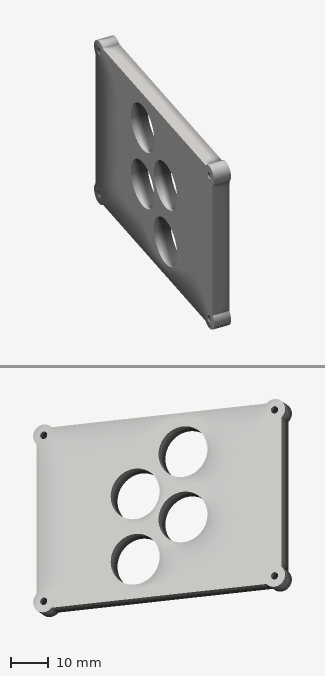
import cadquery as cq

length = 72.0
height = 52.0
thickness = 5.0

lug_radius = 3.0
screw_hole_diameter = 2.0
lug_spacing_x = length - 2 * lug_radius
lug_spacing_z = height - 2 * lug_radius

lug_overhang = 1.0
plate_length = length - 2 * lug_overhang
plate_height = height - 2 * lug_overhang

opening_diameter = 14.0
opening_pitch = 18.1
column_offset = 6.85
left_column_top = 14.2
right_column_top = 3.95
opening_centers = [
    (-column_offset, left_column_top),
    (-column_offset, left_column_top - opening_pitch),
    (column_offset, right_column_top),
    (column_offset, right_column_top - opening_pitch),
]


def back_plane():
    """XZ sketch plane on the +Y face; extrusion runs toward -Y."""
    return cq.Workplane("XZ", origin=(0, thickness / 2, 0))


def corner_cylinders(diameter):
    """Full-thickness cylinders at the four lug centres."""
    return (
        back_plane()
        .rect(lug_spacing_x, lug_spacing_z, forConstruction=True)
        .vertices()
        .circle(diameter / 2)
        .extrude(thickness)
    )


plate = back_plane().rect(plate_length, plate_height).extrude(thickness)

openings = (
    back_plane()
    .pushPoints(opening_centers)
    .circle(opening_diameter / 2)
    .extrude(thickness)
)

result = (
    plate
    .union(corner_cylinders(2 * lug_radius))
    .cut(corner_cylinders(screw_hole_diameter))
    .cut(openings)
)